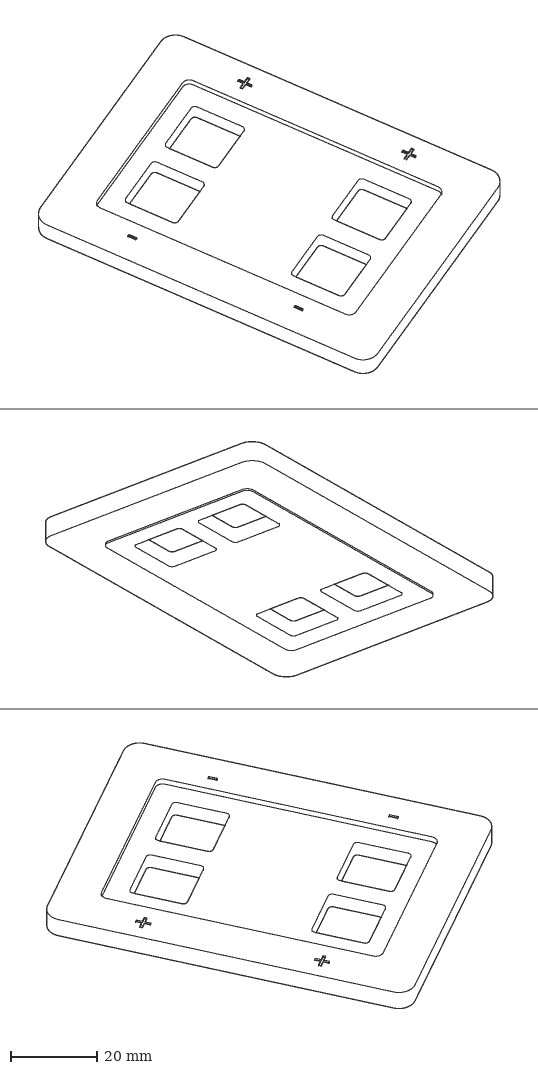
import cadquery as cq

frame_length = 89.5
frame_width = 64.7
frame_thickness = 5.0
frame_corner_radius = 3.9

frame_border = 10.5
panel_length = frame_length - 2 * frame_border
panel_width = frame_width - 2 * frame_border
panel_corner_radius = 1.8
panel_sink = 1.5
panel_proud = 0.45

window_size = 14.0
window_corner_radius = 1.0
window_centres = [
    (-22.5, 9.6),
    (21.85, 9.6),
    (-22.5, -9.4),
    (21.85, -9.7),
]

mark_stroke = 0.6
mark_depth = 0.45
plus_size = 3.5
minus_length = 2.15
plus_centres = [(-21.7, 27.1), (21.85, 27.2)]
minus_centres = [(-21.85, -25.9), (22.1, -25.6)]


def rounded_block(length, width, radius, bottom, top):
    """Upright block centred on the Z axis with rounded vertical edges."""
    block = cq.Workplane("XY").workplane(offset=bottom).rect(length, width).extrude(top - bottom)
    return block.edges("|Z").fillet(radius)


def engrave_bars(body, centres, length, width):
    """Cut one shallow straight bar into the frame's top face at each centre."""
    mark_floor = frame_thickness - mark_depth
    bars = cq.Workplane("XY").workplane(offset=mark_floor).pushPoints(centres)
    return body.cut(bars.rect(length, width).extrude(mark_depth))


panel_top = frame_thickness - panel_sink
frame = rounded_block(frame_length, frame_width, frame_corner_radius, 0, frame_thickness)
recess = rounded_block(panel_length, panel_width, panel_corner_radius, panel_top, frame_thickness)
panel = rounded_block(panel_length, panel_width, panel_corner_radius, -panel_proud, panel_top)
body = frame.cut(recess).union(panel)

window = rounded_block(window_size, window_size, window_corner_radius, -panel_proud, panel_top)
for x, y in window_centres:
    body = body.cut(window.translate((x, y, 0)))

body = engrave_bars(body, plus_centres, plus_size, mark_stroke)
body = engrave_bars(body, plus_centres, mark_stroke, plus_size)
body = engrave_bars(body, minus_centres, minus_length, mark_stroke)

result = body